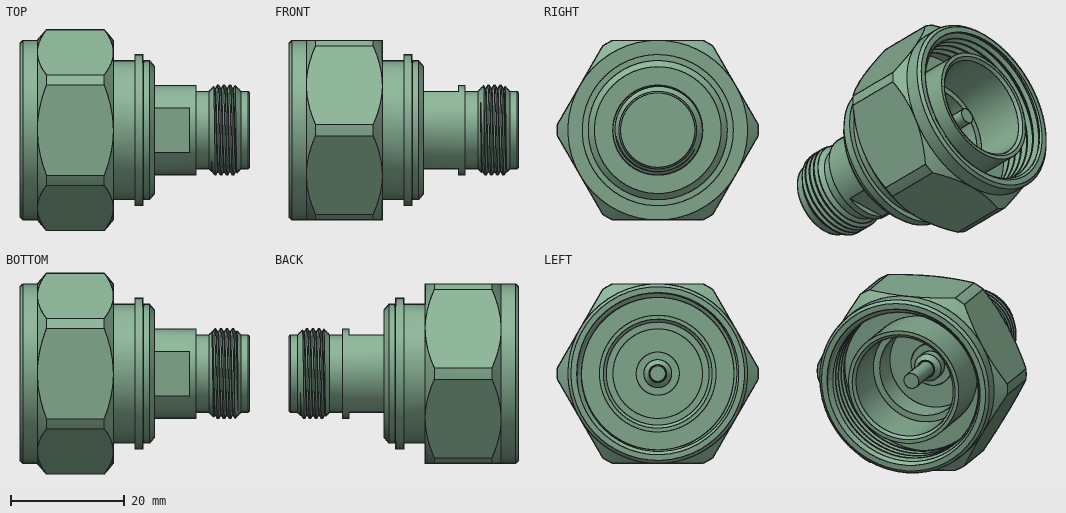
import cadquery as cq
import math


nut_radius = 15.87
nut_corner_radius = 17.8
nut_edge_chamfer = 0.53
hex_start = 3.1
hex_end = 16.52
hex_chamfer_length = 1.62

nut_bore_radius = 13.48
nut_mouth_radius = 14.35
nut_thread_radius = 14.3
nut_thread_pitch = 1.5
nut_root_flat = 0.32
nut_groove_start = -1.95
nut_relief_radius = 14.45
nut_thread_end = 7.55
relief_overrun = 0.4
nut_bore_depth = 9.95

sleeve_front = 0.05
sleeve_outer_radius = 10.3
sleeve_bore_radius = 9.1
sleeve_mouth_radius = 9.62
sleeve_chamfer_length = 0.53
inner_bore_radius = 7.9
inner_bore_depth = 15.43

pin_front = 4.22
pin_radius = 1.4
pin_step_radius = 1.6
pin_root_radius = 2.48
pin_root_start = 12.2
bead_radius = 3.8
bead_height = 0.4

body_radius = 12.3
body_end = 23.85
body_chamfer = 0.95
body_chamfer_drop = 1.1
flange_radius = 13.35
flange_start = 20.3
flange_end = 21.72
groove_radius = 11.9
groove_width = 0.15

neck_radius = 7.9
neck_end = 31.15
flat_height = 6.85
flat_end = 29.95

jack_radius = flat_height
jack_end = 40.6
jack_edge_chamfer = 0.3
jack_thread_radius = 7.95
jack_root_radius = 7.35
jack_thread_start = 33.4
jack_thread_end = 39.05
jack_thread_pitch = 1.05
jack_root_flat = 0.12
jack_groove_start = 33.15

flank_slope = math.tan(math.radians(30))
cutter_overlap = 0.1


def turned(points):
    """Solid of revolution about X from (x, radius) points."""
    return cq.Workplane("XY").polyline(points).close().revolve(360, (0, 0, 0), (1, 0, 0))


def cylinder(start, end, radius):
    return cq.Workplane("YZ", origin=(start, 0, 0)).circle(radius).extrude(end - start)


def helical_cutter(start, length, pitch, root_radius, open_radius, root_flat):
    """Right-hand V groove about X from the -Z side, narrowing from open_radius to root_radius."""
    outward = math.copysign(1, open_radius - root_radius)
    mouth_radius = open_radius + outward * cutter_overlap
    root_half = root_flat / 2
    mouth_half = root_half + abs(mouth_radius - root_radius) * flank_slope
    ends = sorted([(root_radius, root_half), (mouth_radius, mouth_half)])
    (inner_radius, inner_half), (outer_radius, outer_half) = ends
    helix = cq.Workplane(obj=cq.Wire.makeHelix(pitch, length, root_radius))
    profile = cq.Workplane("XZ").polyline([
        (inner_radius, inner_half),
        (outer_radius, outer_half),
        (outer_radius, -outer_half),
        (inner_radius, -inner_half),
    ]).close()
    groove = profile.sweep(helix, isFrenet=True)
    return groove.rotate((0, 0, 0), (0, 1, 0), 90).translate((start, 0, 0))


def nut():
    collar = cylinder(0, hex_start, nut_radius).faces("<X").chamfer(nut_edge_chamfer)
    hexagon = (
        cq.Workplane("YZ", origin=(hex_start, 0, 0))
        .polygon(6, 2 * nut_radius / math.cos(math.pi / 6))
        .extrude(hex_end - hex_start)
    )
    envelope = turned([
        (hex_start, 0),
        (hex_start, nut_radius),
        (hex_start + hex_chamfer_length, nut_corner_radius),
        (hex_end - hex_chamfer_length, nut_corner_radius),
        (hex_end, nut_radius),
        (hex_end, 0),
    ])
    mouth_chamfer = nut_mouth_radius - nut_bore_radius
    bore = turned([
        (0, 0),
        (0, nut_mouth_radius),
        (mouth_chamfer, nut_bore_radius),
        (nut_thread_end, nut_bore_radius),
        (nut_thread_end, nut_relief_radius),
        (nut_bore_depth, nut_relief_radius),
        (nut_bore_depth, 0),
    ])
    thread = helical_cutter(
        nut_groove_start,
        nut_thread_end - nut_groove_start + relief_overrun,
        nut_thread_pitch,
        nut_thread_radius,
        nut_bore_radius,
        nut_root_flat,
    )
    return collar.union(hexagon.intersect(envelope)).cut(thread).cut(bore)


def sleeve():
    return turned([
        (sleeve_front, sleeve_mouth_radius),
        (sleeve_front, sleeve_outer_radius),
        (nut_bore_depth, sleeve_outer_radius),
        (nut_bore_depth, sleeve_bore_radius),
        (sleeve_front + sleeve_chamfer_length, sleeve_bore_radius),
    ])


def pin():
    root_step = pin_root_radius - pin_step_radius
    return turned([
        (pin_front, 0),
        (pin_front, pin_radius),
        (pin_root_start, pin_radius),
        (pin_root_start, pin_step_radius),
        (pin_root_start + root_step, pin_root_radius),
        (inner_bore_depth - bead_height, pin_root_radius),
        (inner_bore_depth - bead_height, bead_radius),
        (inner_bore_depth, bead_radius),
        (inner_bore_depth, 0),
    ])


def body():
    groove_end = flange_end + groove_width
    return turned([
        (hex_end, 0),
        (hex_end, body_radius),
        (flange_start, body_radius),
        (flange_start, flange_radius),
        (flange_end, flange_radius),
        (flange_end, groove_radius),
        (groove_end, groove_radius),
        (groove_end, body_radius),
        (body_end - body_chamfer, body_radius),
        (body_end, body_radius - body_chamfer_drop),
        (body_end, 0),
    ])


def neck():
    flats = (
        cq.Workplane("YZ", origin=(body_end, 0, 0))
        .rect(2 * neck_radius, 2 * flat_height)
        .extrude(flat_end - body_end)
    )
    flatted = cylinder(body_end, flat_end, neck_radius).intersect(flats)
    return flatted.union(cylinder(flat_end, neck_end, neck_radius))


def jack():
    thread_rise = jack_thread_radius - jack_radius
    blank = turned([
        (neck_end, 0),
        (neck_end, jack_radius),
        (jack_thread_start, jack_radius),
        (jack_thread_start + thread_rise, jack_thread_radius),
        (jack_thread_end - thread_rise, jack_thread_radius),
        (jack_thread_end, jack_radius),
        (jack_end - jack_edge_chamfer, jack_radius),
        (jack_end, jack_radius - jack_edge_chamfer),
        (jack_end, 0),
    ])
    thread_length = jack_thread_end - jack_groove_start + jack_thread_pitch
    thread = helical_cutter(
        jack_groove_start,
        thread_length,
        jack_thread_pitch,
        jack_root_radius,
        jack_thread_radius,
        jack_root_flat,
    )
    return blank.cut(thread)


inner_bore = cylinder(nut_bore_depth, inner_bore_depth, inner_bore_radius)
result = nut().cut(inner_bore)
for section in (sleeve(), pin(), body(), neck(), jack()):
    result = result.union(section)